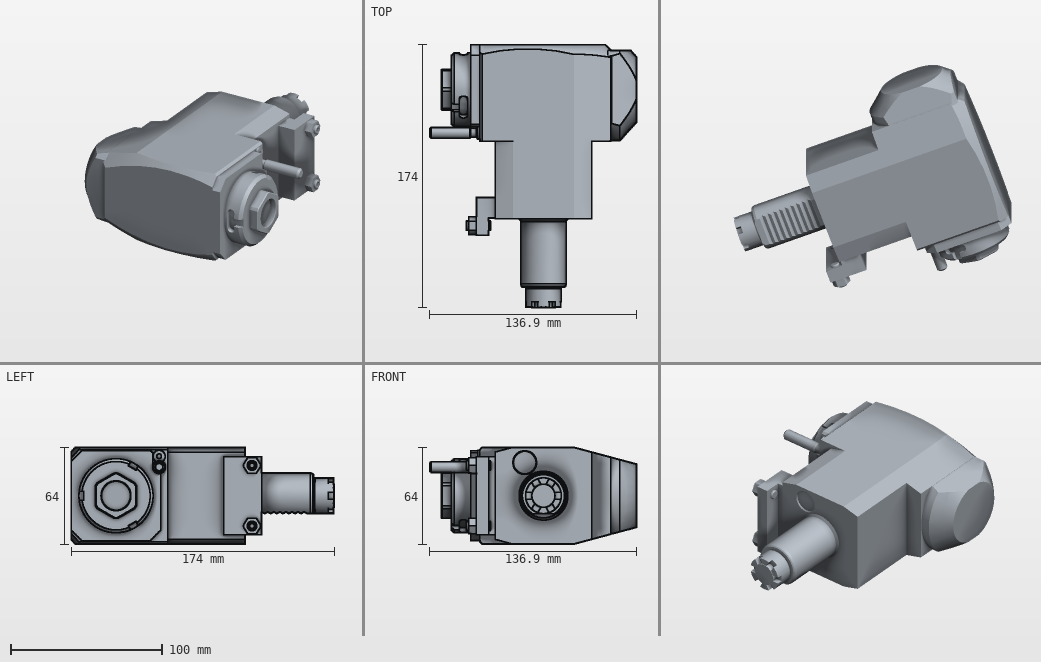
import cadquery as cq
import math

half_height = 32.0
back_y = 29.8
head_front_y = -34.3
head_left_x = -42.1
head_right_x = 44.4
head_edge_chamfer = 1.5
head_corner_chamfer = 3.5
neck_half_width = half_height
neck_front_y = -85.5
taper_start_x = 20.2
taper_slope = math.tan(math.radians(15))

back_cone_x = -10.5
back_cone_radius = 132.2
back_cone_edge_y = 27.0
back_cone_spread = 0.9

cap_radius = 33.8
cap_end_radius = 21.5
cap_cone_x = 50.6
cap_end_x = 61.6
cap_flat_y = 26.0
cap_gap_width = 0.9
cap_gap_depth = 0.2

plate_half_width = back_y
plate_thickness = 6.1
plate_left_x = head_left_x - plate_thickness
plate_corner = 7.1
notch_radius = 4.4
notch_chamfer = 1.4

collar_radius = 24.5
collar_left_x = -61.0
collar_chamfer_length = 2.1
collar_chamfer_depth = 2.0
collar_slot_count = 3
collar_slot_depth = 3.1
collar_slot_x = -52.9
arc_slot_width = 5.4
arc_slot_half_angle = 13.7
key_slot_width = 5.7
hex_left_x = -67.5
hex_across_flats = 27.1
hex_corner_radius = 15.05
hex_edge_chamfer = 0.5
hex_bore_radius = 9.5
hex_bore_depth = 4.4
hex_bore_chamfer = 0.3

pin_y = -28.5
pin_z = 19.0
pin_tip_x = -75.3
pin_radius = 3.7
pin_chamfer = 1.2
pin_shoulder_chamfer = 0.7
pin_neck_radius = 3.0
pin_seat_radius = 4.2
pin_seat_height = 1.4
pin_seat_cone = 0.9
screw_z = 26.1
screw_radius = 4.0
screw_socket_radius = 1.5
screw_socket_depth = 1.0
notch_y = pin_y + notch_radius

bracket_half_height = 26.0
bracket_left_x = -44.4
bracket_right_x = -36.2
bracket_back_y = -71.2
bracket_step_y = -84.9
bracket_front_y = -96.4
stud_y = -90.0
stud_z = 20.0
stud_radius = 3.1
stud_left_x = -51.2
stud_right_x = -34.8
stud_chamfer = 0.5
stud_socket_flats = 3.1
stud_socket_depth = 1.7
nut_across_flats = 10.3
nut_height = 5.0

flare_radius = 16.2
flare_length = 1.5
undercut_radius = 14.6
undercut_width = 0.5
shank_radius = 15.1
shank_end_y = -130.7
shank_chamfer_length = 2.3
shank_chamfer_depth = 0.5
shank_end_chamfer = 0.7
shank_flat_z = -11.8
serration_count = 9
serration_pitch = 4.0
serration_depth = 1.0
serration_last_y = -124.4
relief_radius = 9.2
relief_length = 0.9
collet_nut_radius = 11.8
collet_nut_end_y = -143.9
collet_core_radius = 7.7
collet_core_end_y = -144.2
collet_slot_count = 6
collet_slot_width = 4.7
collet_slot_depth = 3.7

plug_x = -12.4
plug_z = 22.0
plug_radius = 7.5
plug_depth = 1.0
plug_chamfer = 0.3

overlap = 1.7


def taper_height(x):
    """Half height of the tapered housing at a given X."""
    return half_height - (x - taper_start_x) * taper_slope


def cylinder_x(radius, x_start, x_end, y=0, z=0):
    """Round bar along X."""
    return cq.Workplane("YZ", origin=(x_start, y, z)).circle(radius).extrude(x_end - x_start)


def hexagon_x(across_flats, x_start, x_end, turn, y=0, z=0):
    """Hexagonal bar along X, its corners on the Y axis before it is turned."""
    corner_diameter = across_flats / math.cos(math.radians(30))
    bar = cq.Workplane("YZ", origin=(x_start, y, z)).polygon(6, corner_diameter)
    return bar.extrude(x_end - x_start).rotate((0, y, z), (1, y, z), turn)


def symmetric_prism(upper_points, y_front, y_back):
    """Prism along Y from the upper half of an XZ outline that is symmetric about Z = 0."""
    lower_points = [(x, -z) for x, z in reversed(upper_points)]
    outline = cq.Workplane("XZ", origin=(0, y_back, 0)).polyline(upper_points + lower_points)
    return outline.close().extrude(y_back - y_front)


def make_head():
    upper = [
        (head_left_x, half_height - head_edge_chamfer),
        (head_left_x + head_edge_chamfer, half_height),
        (taper_start_x, half_height),
        (head_right_x, taper_height(head_right_x)),
    ]
    head = symmetric_prism(upper, head_front_y, back_y)
    head = head.edges("|Z and >X and >Y").chamfer(head_corner_chamfer)

    middle_radius = back_cone_radius + half_height * back_cone_spread
    cone = (
        cq.Workplane("XZ")
        .polyline([
            (0, -half_height),
            (back_cone_radius, -half_height),
            (middle_radius, 0),
            (back_cone_radius, half_height),
            (0, half_height),
        ])
        .close()
        .revolve(360, (0, 0, 0), (0, 1, 0))
        .translate((back_cone_x, back_cone_edge_y - back_cone_radius, 0))
    )
    return head.intersect(cone)


def make_neck():
    left_bevel_x = -taper_start_x
    upper = [
        (-neck_half_width, taper_height(neck_half_width)),
        (left_bevel_x, half_height),
        (taper_start_x, half_height),
        (neck_half_width, taper_height(neck_half_width)),
    ]
    neck = symmetric_prism(upper, neck_front_y, head_front_y + overlap)
    plug = cq.Workplane("XZ", origin=(plug_x, neck_front_y + plug_depth, plug_z))
    neck = neck.cut(plug.circle(plug_radius).extrude(plug_depth))
    return neck.faces("<Y").edges("%CIRCLE").chamfer(plug_chamfer)


def make_cap():
    start_x = head_right_x - overlap
    body = (
        cq.Workplane("XY")
        .polyline([
            (start_x, 0),
            (start_x, cap_radius),
            (cap_cone_x, cap_radius),
            (cap_end_x, cap_end_radius),
            (cap_end_x, 0),
        ])
        .close()
        .revolve(360, (0, 0, 0), (1, 0, 0))
    )
    gap_end_x = head_right_x + cap_gap_width
    upper = [
        (start_x, taper_height(start_x) - cap_gap_depth),
        (gap_end_x, taper_height(gap_end_x) - cap_gap_depth),
        (gap_end_x, taper_height(gap_end_x)),
        (cap_end_x, taper_height(cap_end_x)),
    ]
    return body.intersect(symmetric_prism(upper, -cap_radius, cap_flat_y))


def make_plate():
    width = 2 * plate_half_width
    plate = (
        cq.Workplane("YZ", origin=(plate_left_x, 0, 0))
        .rect(width, width)
        .extrude(plate_thickness)
        .edges("|X")
        .chamfer(plate_corner)
    )
    notch_foot_z = pin_z - math.sqrt(notch_radius**2 - (plate_half_width + pin_y) ** 2)
    notch = (
        cq.Workplane("YZ", origin=(plate_left_x, 0, 0))
        .moveTo(-plate_half_width, notch_foot_z)
        .threePointArc((pin_y, pin_z - notch_radius), (notch_y, pin_z))
        .lineTo(notch_y, plate_half_width - notch_chamfer)
        .lineTo(notch_y + notch_chamfer, plate_half_width)
        .lineTo(-plate_half_width, plate_half_width)
        .close()
        .extrude(plate_thickness)
    )
    corner = cq.Workplane("YZ", origin=(plate_left_x, 0, 0)).center(
        -plate_half_width + plate_corner / 2, plate_half_width - plate_corner / 2
    )
    corner_block = corner.rect(plate_corner, plate_corner).extrude(plate_thickness)
    return plate.union(corner_block).cut(notch)


def make_collar_slot():
    """Key slot from the collar face into a round-ended slot along the rim, at the +Y side."""
    floor_radius = collar_radius - collar_slot_depth
    cut_depth = collar_slot_depth + overlap
    outer_radius = floor_radius + cut_depth
    mid_radius = floor_radius + cut_depth / 2
    rim_slot = (
        cq.Workplane("XY")
        .center(collar_slot_x, mid_radius)
        .rect(arc_slot_width, cut_depth)
        .revolve(2 * arc_slot_half_angle, (0, -mid_radius, 0), (1, -mid_radius, 0))
        .rotate((0, 0, 0), (1, 0, 0), -arc_slot_half_angle)
    )
    round_end = (
        cq.Workplane("XZ", origin=(collar_slot_x, outer_radius, 0))
        .circle(arc_slot_width / 2)
        .extrude(cut_depth + overlap)
    )
    for angle in (-arc_slot_half_angle, arc_slot_half_angle):
        rim_slot = rim_slot.union(round_end.rotate((0, 0, 0), (1, 0, 0), angle))
    rim_slot = rim_slot.cut(cylinder_x(floor_radius, collar_left_x, plate_left_x))
    key_slot = cq.Workplane("XY").box(
        collar_slot_x - collar_left_x, cut_depth, key_slot_width, centered=(False, False, True)
    )
    return rim_slot.union(key_slot.translate((collar_left_x, floor_radius, 0)))


def make_collar():
    collar = (
        cq.Workplane("XY")
        .polyline([
            (collar_left_x, 0),
            (collar_left_x, collar_radius - collar_chamfer_depth),
            (collar_left_x + collar_chamfer_length, collar_radius),
            (plate_left_x + overlap, collar_radius),
            (plate_left_x + overlap, 0),
        ])
        .close()
        .revolve(360, (0, 0, 0), (1, 0, 0))
    )
    slot = make_collar_slot()
    for i in range(collar_slot_count):
        collar = collar.cut(slot.rotate((0, 0, 0), (1, 0, 0), i * 360 / collar_slot_count))
    return collar


def make_spindle_hex():
    hex_end_x = collar_left_x + overlap
    hexagon = hexagon_x(hex_across_flats, hex_left_x, hex_end_x, 90)
    hexagon = hexagon.intersect(cylinder_x(hex_corner_radius, hex_left_x, hex_end_x))
    hexagon = hexagon.faces("<X").chamfer(hex_edge_chamfer)
    bore = cylinder_x(hex_bore_radius, hex_left_x, hex_left_x + hex_bore_depth)
    hexagon = hexagon.cut(bore)
    rim = hexagon.faces("<X").edges(cq.selectors.RadiusNthSelector(0))
    return rim.chamfer(hex_bore_chamfer)


def make_pin():
    seat_left_x = head_left_x - pin_seat_height
    inside_x = head_left_x + overlap
    pin = cylinder_x(pin_radius, pin_tip_x, plate_left_x, pin_y, pin_z)
    pin = pin.faces("<X").chamfer(pin_chamfer).faces(">X").chamfer(pin_shoulder_chamfer)
    pin = pin.union(cylinder_x(pin_neck_radius, plate_left_x - overlap, inside_x, pin_y, pin_z))
    cone_left_x = seat_left_x - pin_seat_cone
    seat = cylinder_x(pin_seat_radius, cone_left_x, inside_x, pin_y, pin_z)
    seat = seat.faces("<X").chamfer(pin_seat_cone, pin_seat_radius - pin_neck_radius)
    return pin.union(seat)


def make_screw():
    top_x = head_left_x - pin_seat_height
    screw = cylinder_x(screw_radius, top_x, head_left_x + overlap, pin_y, screw_z)
    socket = cylinder_x(screw_socket_radius, top_x, top_x + screw_socket_depth, pin_y, screw_z)
    return screw.cut(socket)


def make_bracket():
    inside_x = -neck_half_width + overlap
    bracket = (
        cq.Workplane("XY", origin=(0, 0, -bracket_half_height))
        .polyline([
            (bracket_left_x, bracket_back_y),
            (inside_x, bracket_back_y),
            (inside_x, bracket_step_y),
            (bracket_right_x, bracket_step_y),
            (bracket_right_x, bracket_front_y),
            (bracket_left_x, bracket_front_y),
        ])
        .close()
        .extrude(2 * bracket_half_height)
    )
    nut_left_x = bracket_left_x - nut_height
    socket_end_x = stud_left_x + stud_socket_depth
    for z in (-stud_z, stud_z):
        stud = cylinder_x(stud_radius, stud_left_x, stud_right_x, stud_y, z)
        stud = stud.faces("<X or >X").chamfer(stud_chamfer)
        nut = hexagon_x(nut_across_flats, nut_left_x, bracket_left_x, 0, stud_y, z)
        socket = hexagon_x(stud_socket_flats, stud_left_x, socket_end_x, 0, stud_y, z)
        bracket = bracket.union(nut).union(stud).cut(socket)
    return bracket


def make_shank():
    flare_end_y = neck_front_y - flare_length
    undercut_end_y = flare_end_y - undercut_width
    chamfer_foot_radius = shank_radius - shank_chamfer_depth
    relief_end_y = shank_end_y - relief_length
    shank = (
        cq.Workplane("XY")
        .polyline([
            (0, neck_front_y + overlap),
            (flare_radius, neck_front_y + overlap),
            (flare_radius, neck_front_y),
            (undercut_radius, flare_end_y),
            (undercut_radius, undercut_end_y),
            (shank_radius, undercut_end_y),
            (shank_radius, shank_end_y + shank_chamfer_length),
            (chamfer_foot_radius, shank_end_y + shank_end_chamfer),
            (chamfer_foot_radius - shank_end_chamfer, shank_end_y),
            (relief_radius, shank_end_y),
            (relief_radius, relief_end_y),
            (collet_nut_radius, relief_end_y),
            (collet_nut_radius, collet_nut_end_y),
            (collet_core_radius, collet_nut_end_y),
            (collet_core_radius, collet_core_end_y),
            (0, collet_core_end_y),
        ])
        .close()
        .revolve(360, (0, 0, 0), (0, 1, 0))
    )
    return shank.cut(make_serrated_flat(undercut_end_y)).cut(make_collet_slots())


def make_serrated_flat(start_y):
    """Material below the flat on the underside of the shank, with V grooves across it."""
    half_pitch = serration_pitch / 2
    points = [(start_y, -flare_radius), (start_y, shank_flat_z)]
    for i in reversed(range(serration_count)):
        groove_y = serration_last_y + i * serration_pitch
        points.append((groove_y + half_pitch, shank_flat_z))
        points.append((groove_y, shank_flat_z + serration_depth))
    points.append((serration_last_y - half_pitch, shank_flat_z))
    points.append((shank_end_y, shank_flat_z))
    points.append((shank_end_y, -flare_radius))
    section = cq.Workplane("YZ", origin=(-flare_radius, 0, 0)).polyline(points)
    return section.close().extrude(2 * flare_radius)


def make_collet_slots():
    slot_length = collet_nut_radius + overlap
    slot = cq.Workplane("XY").box(
        slot_length, collet_slot_depth, collet_slot_width, centered=(False, False, True)
    )
    slot = slot.translate((0, collet_nut_end_y, 0))
    core = (
        cq.Workplane("XZ", origin=(0, collet_nut_end_y + collet_slot_depth, 0))
        .circle(collet_core_radius)
        .extrude(collet_slot_depth)
    )
    slots = slot
    for i in range(1, collet_slot_count):
        slots = slots.union(slot.rotate((0, 0, 0), (0, 1, 0), i * 360 / collet_slot_count))
    return slots.cut(core)


result = (
    make_head()
    .union(make_neck())
    .union(make_cap())
    .union(make_plate())
    .union(make_collar())
    .union(make_spindle_hex())
    .union(make_pin())
    .union(make_screw())
    .union(make_bracket())
    .union(make_shank())
)